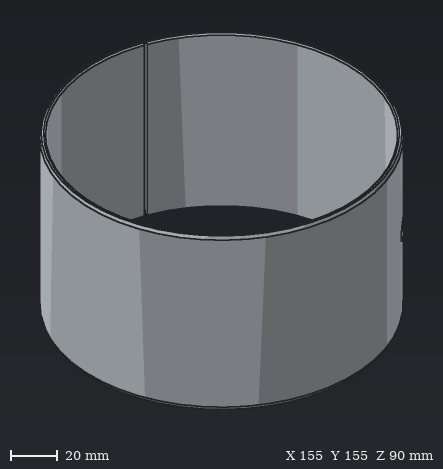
import cadquery as cq
import math

OUTER_DIAMETER = 155.0
WALL_THICKNESS = 2.5
LENGTH = 90.0

OUTER_CHAMFER_LENGTH = 1.8
OUTER_CHAMFER_ANGLE = 20.0
INNER_CHAMFER = 0.8

SPLIT_ANGLE = 1.0

OIL_HOLE_DIAMETER = 10.0
SPLIT_TO_OIL_HOLE_ANGLE = 120.0

outer_radius = OUTER_DIAMETER / 2
inner_radius = outer_radius - WALL_THICKNESS
half_length = LENGTH / 2
outer_chamfer_depth = OUTER_CHAMFER_LENGTH * math.tan(math.radians(OUTER_CHAMFER_ANGLE))
oil_hole_angle = 180 - SPLIT_ANGLE - SPLIT_TO_OIL_HOLE_ANGLE


def make_sleeve():
    """Revolve the chamfered wall section about Z, leaving the split open."""
    end_outer_radius = outer_radius - outer_chamfer_depth
    end_inner_radius = inner_radius + INNER_CHAMFER
    outer_chamfer_z = half_length - OUTER_CHAMFER_LENGTH
    inner_chamfer_z = half_length - INNER_CHAMFER
    wall_section = (
        cq.Workplane("XZ")
        .moveTo(outer_radius, -outer_chamfer_z)
        .lineTo(outer_radius, outer_chamfer_z)
        .lineTo(end_outer_radius, half_length)
        .lineTo(end_inner_radius, half_length)
        .lineTo(inner_radius, inner_chamfer_z)
        .lineTo(inner_radius, -inner_chamfer_z)
        .lineTo(end_inner_radius, -half_length)
        .lineTo(end_outer_radius, -half_length)
        .close()
    )
    sleeve = wall_section.revolve(360 - SPLIT_ANGLE, (0, 0, 0), (0, 1, 0))
    return sleeve.rotate((0, 0, 0), (0, 0, 1), 180)


def make_oil_hole_cutter():
    """Radial cylinder from the axis out past one wall."""
    return (
        cq.Workplane("YZ")
        .circle(OIL_HOLE_DIAMETER / 2)
        .extrude(OUTER_DIAMETER)
        .rotate((0, 0, 0), (0, 0, 1), oil_hole_angle)
    )


result = make_sleeve().cut(make_oil_hole_cutter())